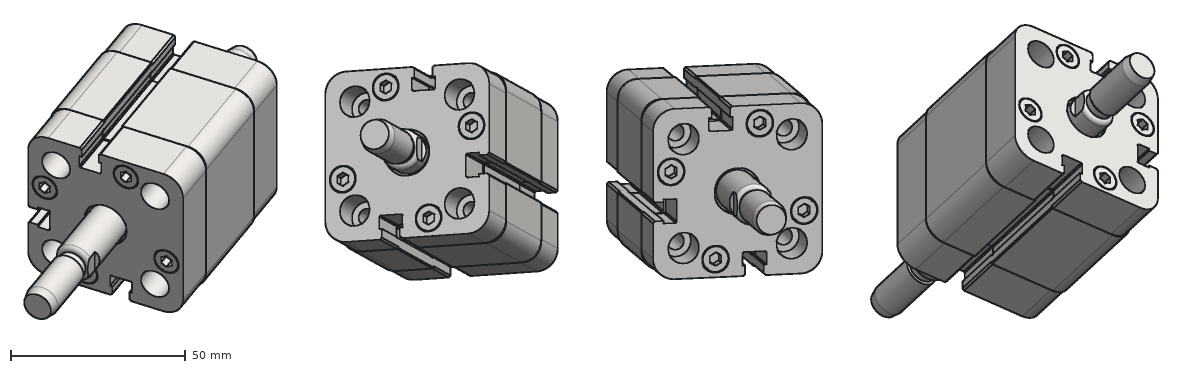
import cadquery as cq
total_length = 130.5
cap_side = 49.9
barrel_side = 50.1
housing_length = 59.4
cap_length = 14.5
front_face = -22.2
rear_face = front_face + housing_length

cap_corner = 6.4
barrel_corner = 6.0

slot_offset = 5.0
slot_opening = 5.5
slot_lip = 3.1
slot_floor_bevel = 0.4
cap_slot_width = 7.0
cap_slot_depth = 7.0
cap_slot_bevel = 0.59
barrel_slot_width = 6.7
barrel_slot_depth = 6.7
barrel_slot_bevel = 0.33
slot_angles = (0, 90, 180)

mount_offset = 15.9
mount_hole = 5.0
mount_bore = 9.0
mount_bore_depth = 10.5

screw_across = 6.5
screw_out = 19.6
screw_pocket = 8.0
screw_head = 7.5
screw_pocket_depth = 3.9
hex_flats = 3.4
hex_depth = 3.3

rod_bore = 13.6
rod_bore_depth = 1.3

rod_diameter = 12.0
shoulder_radius = 1.5
neck_diameter = 8.6
neck_length = 2.7
stud_root_length = 0.33
stud_diameter = 10.0
stud_length = 19.2
stud_tip_diameter = 8.6
stud_tip_length = 2.9
flats_across = 10.0
flats_length = 4.6

rod_radius = rod_diameter / 2
shoulder = total_length / 2 - stud_length - neck_length


def prism(start, length):
    """Workplane at Y = start, ready to extrude toward +Y by a negative length."""
    return cq.Workplane("XZ", origin=(0, start, 0)), -length


def slot_cutter(start, length, side, width, depth, bevel):
    """T-slot in the top side, with bevelled lips, running along Y."""
    half = side / 2
    mouth = slot_opening / 2
    plane, reach = prism(start, length)
    right_side = [
        (mouth + bevel, half),
        (mouth, half - bevel),
        (mouth, half - slot_lip),
        (width / 2, half - slot_lip),
        (width / 2, half - depth + slot_floor_bevel),
        (width / 2 - slot_floor_bevel, half - depth),
    ]
    left_side = [(-x, z) for x, z in reversed(right_side)]
    outline = [(x - slot_offset, z) for x, z in right_side + left_side]
    return plane.polyline(outline).close().extrude(reach)


def housing_section(start, length, side, corner, width, depth, bevel):
    """Square section with rounded corners and its three T-slots."""
    plane, reach = prism(start, length)
    section = plane.rect(side, side).extrude(reach).edges("|Y").fillet(corner)
    slot = slot_cutter(start, length, side, width, depth, bevel)
    for angle in slot_angles:
        section = section.cut(slot.rotate((0, 0, 0), (0, -1, 0), angle))
    return section


def cap(start):
    """End cap, a touch smaller than the barrel, with its front at Y = start."""
    return housing_section(
        start,
        cap_length,
        cap_side,
        cap_corner,
        cap_slot_width,
        cap_slot_depth,
        cap_slot_bevel,
    )


def barrel():
    """Middle section between the two end caps."""
    return housing_section(
        front_face + cap_length,
        housing_length - 2 * cap_length,
        barrel_side,
        barrel_corner,
        barrel_slot_width,
        barrel_slot_depth,
        barrel_slot_bevel,
    )


def end_cutters():
    """Everything sunk into the front face: mounting bores, screw pockets and rod clearance."""
    mount_plane, mount_reach = prism(front_face, mount_bore_depth)
    cutters = (
        mount_plane.rect(2 * mount_offset, 2 * mount_offset, forConstruction=True)
        .vertices()
        .circle(mount_bore / 2)
        .extrude(mount_reach)
    )

    bore_plane, bore_reach = prism(front_face, rod_bore_depth)
    cutters = cutters.add(bore_plane.circle(rod_bore / 2).extrude(bore_reach))

    a, b = screw_across, screw_out
    for x, z in [(a, b), (b, -a), (-a, -b), (-b, a)]:
        cutters = cutters.add(screw_cutter(x, z))
    return cutters.combine()


def screw_cutter(x, z):
    """Ring gap around a flush screw head, and the hexagon socket in the head."""
    ring_plane, ring_reach = prism(front_face, screw_pocket_depth)
    hex_plane, hex_reach = prism(front_face, hex_depth)
    ring = ring_plane.center(x, z).circle(screw_pocket / 2).circle(screw_head / 2).extrude(ring_reach)
    socket = hex_plane.center(x, z).polygon(6, hex_flats, circumscribed=True).extrude(hex_reach)
    return ring.union(socket)


def mount_holes():
    """Four holes through the full length of the housing."""
    plane, reach = prism(front_face, housing_length)
    corners = plane.rect(2 * mount_offset, 2 * mount_offset, forConstruction=True).vertices()
    return corners.circle(mount_hole / 2).extrude(reach)


def rod():
    """Turned rod, the same at both ends, with a pair of wrench flats behind each shoulder."""
    tip = total_length / 2
    stud_profile = [
        (neck_diameter / 2, shoulder),
        (neck_diameter / 2, shoulder + neck_length - stud_root_length),
        (stud_diameter / 2, shoulder + neck_length),
        (stud_diameter / 2, tip - stud_tip_length),
        (stud_tip_diameter / 2, tip),
        (0, tip),
    ]
    half_rod = (
        cq.Workplane("XY")
        .lineTo(rod_radius, 0)
        .lineTo(rod_radius, shoulder - shoulder_radius)
        .tangentArcPoint((rod_radius - shoulder_radius, shoulder), relative=False)
    )
    for r, y in stud_profile:
        half_rod = half_rod.lineTo(r, y)
    half_rod = half_rod.close().revolve(360, (0, 0, 0), (0, 1, 0))

    flat = flats_across / 2
    run_out = rod_radius - flat
    flat_start = shoulder - flats_length
    flat_cutter = (
        cq.Workplane("XY", origin=(0, 0, -rod_radius))
        .polyline([
            (flat, flat_start),
            (flat, shoulder),
            (rod_diameter, shoulder),
            (rod_diameter, flat_start - run_out),
            (rod_radius, flat_start - run_out),
        ])
        .close()
        .extrude(rod_diameter)
    )
    flat_pair = flat_cutter.union(flat_cutter.mirror("YZ"))
    half_rod = half_rod.cut(flat_pair)
    return half_rod.union(half_rod.mirror("XZ"))


housing = cap(front_face).union(barrel()).union(cap(rear_face - cap_length))
front_cutters = end_cutters()
rear_cutters = front_cutters.mirror("XZ", (0, front_face + housing_length / 2, 0))
housing = housing.cut(front_cutters).cut(rear_cutters).cut(mount_holes())

result = housing.union(rod())